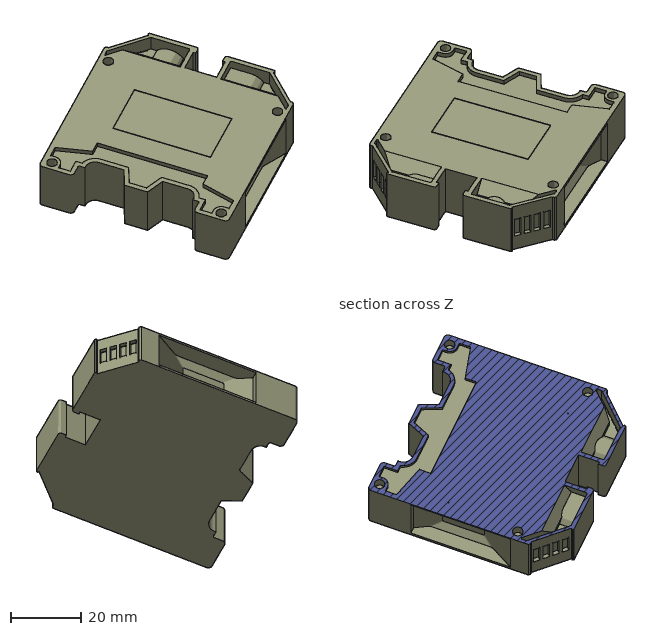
import cadquery as cq
import math

WIDTH = 58.0
HEIGHT = 59.5
THICKNESS = 16.0
WALL = 1.35
HALF_WIDTH = WIDTH / 2
TOP = THICKNESS / 2

FOOT_INNER_X = 18.5
FOOT_FILLET = 1.2
SHELF_FILLET = 0.4
SHELF_Y = 4.15
RAIL_SEAT_Y = 7.55
SEAT_ARC_X = 13.6
RECESS_ARC_RADIUS = 8.5 / 2
SEAT_ARC_RADIUS = RECESS_ARC_RADIUS - WALL
SEAT_ARC_Y = RAIL_SEAT_Y - SEAT_ARC_RADIUS
TOOTH_ROOT_X = 5.95
TOOTH_TIP_X = 3.5
TOOTH_TIP_Y = 2.15

SHOULDER_Y = 50.0
SHOULDER_CHAMFER = 0.5
SHOULDER_X = 27.85
WING_CORNER_X = 19.15
WING_CORNER_Y = SHOULDER_Y + SHOULDER_X - WING_CORNER_X
WING_LIP = 0.3
CENTER_SLOT_X = 4.9
CENTER_SLOT_Y = 50.9
SLOT_LIP_X = 4.1
SLOT_LIP_Y = 57.25
SLOT_LIP_FILLET = 0.8

POCKET_FLOOR_Z = TOP - 4.8
POCKET_INNER_X = CENTER_SLOT_X + WALL
POCKET_OUTER_X = 27.85
POCKET_END_Y = HEIGHT - WALL
POCKET_CORNER_X = 18.2
POCKET_SIDE_Y = POCKET_END_Y - (POCKET_OUTER_X - POCKET_CORNER_X)
CHANNEL_TIP_X = 27.6
CHANNEL_TIP_Y = 46.8
CHANNEL_SIDE_Y = 47.05
SLOPE_TOP_Y = 50.6
SLOPE_RUN = 3.35
SLOPE_DROP = 3.45
BARREL_X = 12.3
BARREL_RADIUS = 10.4 / 2
GAP_OUTER_X = 7.85
GAP_FLOOR_Z = TOP - 5.6
POCKET_FILLET = 0.3

RECESS_DEPTH = 1.35
RECESS_CENTER_X = 16.9
RECESS_TOP_Y = 14.4
RECESS_STEP_Y = 10.95
RECESS_SIDE_X = 27.35
RECESS_SIDE_Y = 8.3
PIN_BOSS_RADIUS = 2.45
LABEL_LENGTH = 29.85
LABEL_HEIGHT = 16.1
LABEL_CENTER_Y = 29.5
LABEL_DEPTH = 0.2

PIN_HOLE_X = 25.95
PIN_HOLE_LOW_Y = 2.5
PIN_HOLE_HIGH_Y = 45.0
PIN_HOLE_DIAMETER = 3.0
PIN_HOLE_END_DIAMETER = 2.5
PIN_HOLE_DEPTH = 3.0

FUNNEL_DEPTH = 6.05
FUNNEL_LOW_Y = 13.4
FUNNEL_HIGH_Y = 44.05
FUNNEL_RIM = 0.9
THROAT_LOW_Y = 20.5
THROAT_HIGH_Y = 33.5
THROAT_HALF_THICKNESS = 5.2
THROAT_FILLET = 1.0
FUNNEL_SPREAD_Y = FUNNEL_HIGH_Y - THROAT_HIGH_Y
FUNNEL_SPREAD_Z = 6.55

GROOVE_COUNT = 4
GROOVE_PITCH = 3.0
GROOVE_WIDTH = 1.95
GROOVE_LENGTH = 6.1
GROOVE_DEPTH = 1.15
FIRST_GROOVE_Y = 57.4


def both_sides(solid):
    return solid.union(solid.mirror("YZ"))


def extrude_down(outline, depth):
    """Solid from a closed XY outline extruded down from the top face."""
    return outline.extrude(-depth)


def on_top():
    return cq.Workplane("XY", origin=(0, 0, TOP))


def arc_middle(center_x, center_y, radius):
    """Middle point of the upper-left quarter circle."""
    offset = radius * math.sqrt(0.5)
    return (center_x - offset, center_y + offset)


def make_body():
    half = (
        cq.Workplane("XY", origin=(0, 0, -TOP))
        .moveTo(0, TOOTH_TIP_Y)
        .lineTo(-TOOTH_TIP_X, TOOTH_TIP_Y)
        .lineTo(-TOOTH_ROOT_X, RAIL_SEAT_Y)
        .lineTo(-SEAT_ARC_X, RAIL_SEAT_Y)
        .threePointArc(
            arc_middle(-SEAT_ARC_X, SEAT_ARC_Y, SEAT_ARC_RADIUS),
            (-SEAT_ARC_X - SEAT_ARC_RADIUS, SEAT_ARC_Y),
        )
        .lineTo(-SEAT_ARC_X - SEAT_ARC_RADIUS, SHELF_Y)
        .lineTo(-FOOT_INNER_X, SHELF_Y)
        .lineTo(-FOOT_INNER_X, 0)
        .lineTo(-HALF_WIDTH, 0)
        .lineTo(-HALF_WIDTH, SHOULDER_Y - SHOULDER_CHAMFER)
        .lineTo(-HALF_WIDTH + SHOULDER_CHAMFER, SHOULDER_Y)
        .lineTo(-SHOULDER_X, SHOULDER_Y)
        .lineTo(-WING_CORNER_X, WING_CORNER_Y)
        .lineTo(-WING_CORNER_X - WING_LIP, WING_CORNER_Y + WING_LIP)
        .lineTo(-WING_CORNER_X - WING_LIP, HEIGHT - WING_LIP)
        .lineTo(-WING_CORNER_X, HEIGHT)
        .lineTo(-SLOT_LIP_X, HEIGHT)
        .lineTo(-SLOT_LIP_X, SLOT_LIP_Y)
        .lineTo(-CENTER_SLOT_X, SLOT_LIP_Y)
        .lineTo(-CENTER_SLOT_X, CENTER_SLOT_Y)
        .lineTo(0, CENTER_SLOT_Y)
        .close()
        .extrude(THICKNESS)
    )
    half = half.edges("|Z and <Y").fillet(FOOT_FILLET)
    shelf_corner = cq.selectors.NearestToPointSelector((-FOOT_INNER_X, SHELF_Y, 0))
    half = half.edges("|Z").edges(shelf_corner).fillet(SHELF_FILLET)
    lip_corner = cq.selectors.NearestToPointSelector((-SLOT_LIP_X, HEIGHT, 0))
    half = half.edges("|Z").edges(lip_corner).fillet(SLOT_LIP_FILLET)
    return both_sides(half)


def left_gap():
    """Deeper gap that trims the barrel beside the wall of the center slot."""
    gap_start_y = SLOPE_TOP_Y + SLOPE_RUN
    gap = cq.Workplane("XY").box(
        GAP_OUTER_X - POCKET_INNER_X, POCKET_END_Y - gap_start_y, TOP - GAP_FLOOR_Z, centered=False
    )
    gap = gap.edges("|Z and >X and >Y").fillet(POCKET_FILLET)
    return gap.translate((-GAP_OUTER_X, gap_start_y, GAP_FLOOR_Z))


def left_pocket(bridged):
    """Pocket void around a wire barrel; a bridge continues its crest level to the inner wall."""
    void = extrude_down(
        on_top().polyline([
            (-POCKET_INNER_X, SLOPE_TOP_Y),
            (-POCKET_INNER_X, POCKET_END_Y),
            (-POCKET_CORNER_X, POCKET_END_Y),
            (-POCKET_OUTER_X, POCKET_SIDE_Y),
            (-POCKET_OUTER_X, CHANNEL_SIDE_Y),
            (-CHANNEL_TIP_X, CHANNEL_TIP_Y),
            (-CHANNEL_TIP_X + SLOPE_TOP_Y - CHANNEL_TIP_Y, SLOPE_TOP_Y),
        ]).close(),
        TOP - POCKET_FLOOR_Z,
    )
    inner_corner = cq.selectors.NearestToPointSelector((-POCKET_INNER_X, POCKET_END_Y, 0))
    void = void.edges("|Z").edges(inner_corner).fillet(POCKET_FILLET)
    slope = (
        cq.Workplane("YZ", origin=(-POCKET_OUTER_X, 0, 0))
        .polyline([
            (SLOPE_TOP_Y, POCKET_FLOOR_Z),
            (SLOPE_TOP_Y, TOP),
            (SLOPE_TOP_Y + SLOPE_RUN, TOP - SLOPE_DROP),
            (SLOPE_TOP_Y + SLOPE_RUN, POCKET_FLOOR_Z),
        ])
        .close()
        .extrude(POCKET_OUTER_X - POCKET_INNER_X)
    )
    slope_area = extrude_down(
        on_top().polyline([
            (-CHANNEL_TIP_X, CHANNEL_TIP_Y),
            (-CHANNEL_TIP_X + HEIGHT - CHANNEL_TIP_Y, HEIGHT),
            (0, HEIGHT),
            (0, CHANNEL_TIP_Y),
        ]).close(),
        THICKNESS,
    )
    barrel = (
        cq.Workplane("XZ", origin=(-BARREL_X, SLOPE_TOP_Y, 0))
        .circle(BARREL_RADIUS)
        .extrude(SLOPE_TOP_Y - HEIGHT)
    )
    void = void.cut(slope.intersect(slope_area)).cut(barrel).union(left_gap())
    if bridged:
        bridge = cq.Workplane("XY").box(
            BARREL_X - POCKET_INNER_X, HEIGHT - SLOPE_TOP_Y, BARREL_RADIUS, centered=False
        )
        void = void.cut(bridge.translate((-BARREL_X, SLOPE_TOP_Y, 0)))
    return void


def make_pockets():
    return left_pocket(bridged=False).union(left_pocket(bridged=True).mirror("YZ"))


def make_rail_recess():
    """Recess that follows the rail side of the outline one wall thickness inside it."""
    arc_left_x = -SEAT_ARC_X - RECESS_ARC_RADIUS
    boss_right_x = -PIN_HOLE_X + PIN_BOSS_RADIUS
    boss_top_y = PIN_HOLE_LOW_Y + PIN_BOSS_RADIUS
    boss_offset = PIN_BOSS_RADIUS * math.sqrt(0.5)
    flank_slope = (RAIL_SEAT_Y - TOOTH_TIP_Y) / (TOOTH_ROOT_X - TOOTH_TIP_X)
    flank_angle = math.atan(flank_slope)
    corner_shift = WALL * math.tan(flank_angle / 2)
    half = (
        on_top()
        .moveTo(0, RECESS_TOP_Y)
        .lineTo(-RECESS_CENTER_X, RECESS_TOP_Y)
        .lineTo(-RECESS_CENTER_X, RECESS_STEP_Y)
        .lineTo(-RECESS_SIDE_X, RECESS_SIDE_Y)
        .lineTo(-RECESS_SIDE_X, boss_top_y)
        .lineTo(-PIN_HOLE_X, boss_top_y)
        .threePointArc(
            (-PIN_HOLE_X + boss_offset, PIN_HOLE_LOW_Y + boss_offset),
            (boss_right_x, PIN_HOLE_LOW_Y),
        )
        .lineTo(boss_right_x, WALL)
        .lineTo(-FOOT_INNER_X - WALL, WALL)
        .lineTo(-FOOT_INNER_X - WALL, SHELF_Y + WALL)
        .lineTo(arc_left_x, SHELF_Y + WALL)
        .threePointArc(
            arc_middle(-SEAT_ARC_X, SEAT_ARC_Y, RECESS_ARC_RADIUS),
            (-SEAT_ARC_X, SEAT_ARC_Y + RECESS_ARC_RADIUS),
        )
        .lineTo(-TOOTH_ROOT_X + corner_shift, RAIL_SEAT_Y + WALL)
        .lineTo(-TOOTH_TIP_X + corner_shift, TOOTH_TIP_Y + WALL)
        .lineTo(0, TOOTH_TIP_Y + WALL)
        .close()
    )
    return both_sides(extrude_down(half, RECESS_DEPTH))


def make_label_field():
    outline = on_top().center(0, LABEL_CENTER_Y).rect(LABEL_LENGTH, LABEL_HEIGHT)
    return extrude_down(outline, LABEL_DEPTH)


def make_pin_holes():
    taper = math.degrees(
        math.atan((PIN_HOLE_DIAMETER - PIN_HOLE_END_DIAMETER) / 2 / PIN_HOLE_DEPTH)
    )
    return (
        on_top()
        .pushPoints([
            (x, y)
            for x in (-PIN_HOLE_X, PIN_HOLE_X)
            for y in (PIN_HOLE_LOW_Y, PIN_HOLE_HIGH_Y)
        ])
        .circle(PIN_HOLE_DIAMETER / 2)
        .extrude(-PIN_HOLE_DEPTH, taper=taper)
    )


def make_funnels():
    """Flared wire entries, their flare cut off square by the entry window."""
    throat_x = -HALF_WIDTH + FUNNEL_DEPTH
    throat_z = THROAT_HALF_THICKNESS
    flare_z = throat_z + FUNNEL_SPREAD_Z
    flare_y = (
        cq.Workplane("XY", origin=(0, 0, -flare_z))
        .polyline([
            (throat_x, THROAT_LOW_Y),
            (throat_x, THROAT_HIGH_Y),
            (-HALF_WIDTH, THROAT_HIGH_Y + FUNNEL_SPREAD_Y),
            (-HALF_WIDTH, THROAT_LOW_Y - FUNNEL_SPREAD_Y),
        ])
        .close()
        .extrude(2 * flare_z)
    )
    flare = flare_y.intersect(
        cq.Workplane("XZ")
        .polyline([
            (throat_x, -throat_z),
            (throat_x, throat_z),
            (-HALF_WIDTH, flare_z),
            (-HALF_WIDTH, -flare_z),
        ])
        .close()
        .extrude(-HEIGHT)
    )
    flare = flare.edges("not(#X or |Y or |Z)").fillet(THROAT_FILLET)
    window = cq.Workplane("XY").box(
        FUNNEL_DEPTH, FUNNEL_HIGH_Y - FUNNEL_LOW_Y, THICKNESS - 2 * FUNNEL_RIM,
        centered=(False, False, True),
    )
    return both_sides(flare.intersect(window.translate((-HALF_WIDTH, FUNNEL_LOW_Y, 0))))


def make_grooves():
    grooves = cq.Workplane("XY")
    pitch_y = GROOVE_PITCH * math.sqrt(0.5)
    for index in range(GROOVE_COUNT):
        y = FIRST_GROOVE_Y - index * pitch_y
        x = y - SHOULDER_Y - SHOULDER_X
        groove = cq.Workplane("XY").box(GROOVE_WIDTH, 2 * GROOVE_DEPTH, GROOVE_LENGTH)
        grooves = grooves.add(groove.rotate((0, 0, 0), (0, 0, 1), 45).translate((x, y, 0)))
    return both_sides(grooves.combine())


result = (
    make_body()
    .cut(make_pockets())
    .cut(make_rail_recess())
    .cut(make_label_field())
    .cut(make_pin_holes())
    .cut(make_funnels())
    .cut(make_grooves())
)